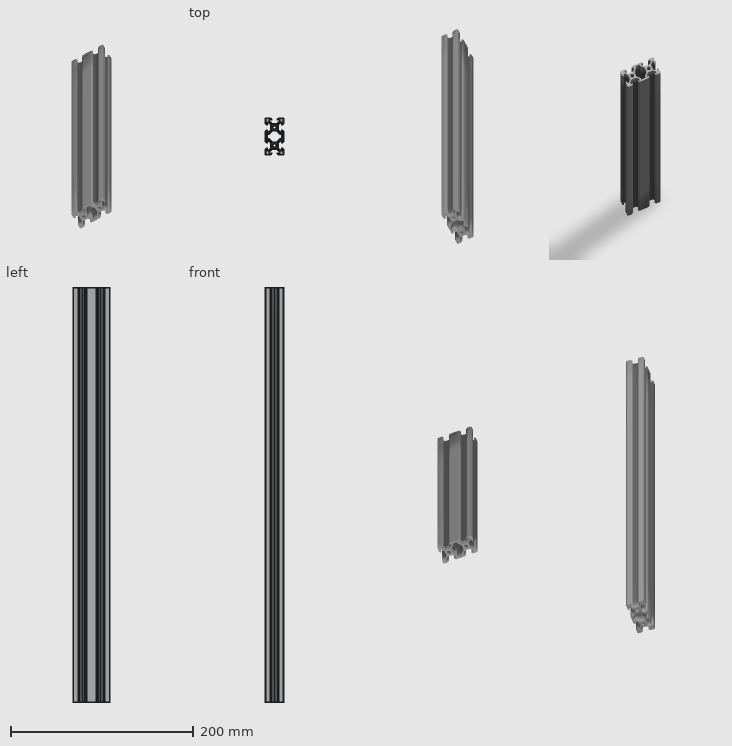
import cadquery as cq
import math

length = 456.0
width = 20.0
half_cell = width / 2
depth = 2 * width

bore_diameter = 4.2
wall = 2.0
mouth_half = 4.5
throat_half = 3.1
core_half = 3.9
chamber_step = 1.6
web = 1.5
corner_radius = 0.7
recess_half = 2.6
groove_half = 0.25
groove_depth = 0.25

chamber_half = core_half + chamber_step

floor_half = core_half - web / math.sqrt(2)

cell_centers = [(0, -half_cell), (0, half_cell)]


def prism(points):
    """Extrude a closed outline over the full length of the bar."""
    return cq.Workplane("XY").polyline(points).close().extrude(length)


def slot(center_y, angle):
    """V-slot opening toward +X of a cell, turned by angle about the cell axis."""
    throat_start = half_cell - (mouth_half - throat_half)
    lip_back = half_cell - wall
    chamber_end = core_half + chamber_half - floor_half
    upper = [
        (half_cell, mouth_half),
        (throat_start, throat_half),
        (lip_back, throat_half),
        (lip_back, chamber_half),
        (chamber_end, chamber_half),
        (core_half, floor_half),
    ]
    lower = [(x, -y) for x, y in reversed(upper)]
    cutter = prism(upper + lower)
    return cutter.rotate((0, 0, 0), (0, 0, 1), angle).translate((0, center_y, 0))


def central_cavity():
    """Cavity between the cores: 45 degree faces along the webs, a square recess into each side wall."""
    side_x = half_cell - wall
    end_y = half_cell - core_half
    recess_x = end_y + floor_half - recess_half
    quarter = [
        (side_x, recess_half),
        (recess_x, recess_half),
        (floor_half, end_y),
    ]
    right_half = [(x, -y) for x, y in reversed(quarter)] + quarter
    left_half = [(-x, -y) for x, y in right_half]
    return prism(right_half + left_half)


def core_groove(center_y, angle):
    """Shallow V groove along the middle of one flat core face."""
    cutter = prism([
        (core_half, groove_half),
        (core_half - groove_depth, 0),
        (core_half, -groove_half),
    ])
    return cutter.rotate((0, 0, 0), (0, 0, 1), angle).translate((0, center_y, 0))


bar = cq.Workplane("XY").rect(width, depth).extrude(length)
bar = bar.edges("|Z").fillet(corner_radius)

for center_y, end_angle in ((-half_cell, -90), (half_cell, 90)):
    for angle in (0, 180, end_angle):
        bar = bar.cut(slot(center_y, angle))

bar = bar.cut(central_cavity())

for _, center_y in cell_centers:
    for angle in (0, 90, 180, 270):
        bar = bar.cut(core_groove(center_y, angle))

bores = cq.Workplane("XY").pushPoints(cell_centers).circle(bore_diameter / 2).extrude(length)
result = bar.cut(bores)